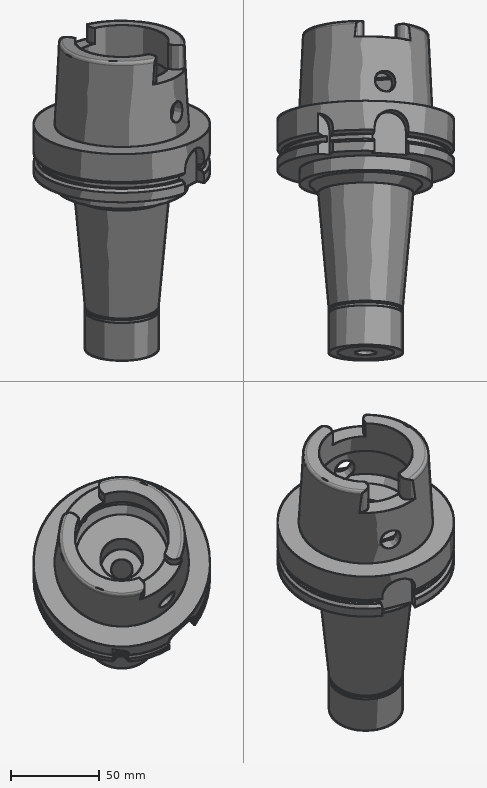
import cadquery as cq
import math


shank_height = 50.0
shank_base_diameter = 76.1
shank_top_diameter = 71.1
shank_rim_fillet = 2.0
mouth_diameter = 53.0
mouth_depth = 20.0
chamber_diameter = 63.0
chamber_depth = 40.7
chamber_floor_diameter = mouth_diameter
chamber_floor_slope = 30.0
coolant_seat_diameter = 24.0
coolant_seat_depth = 20.0
through_diameter = 12.0
radial_hole_diameter = 12.0
radial_hole_z = 14.6

drive_slot_width = 20.0
drive_slot_fillet = 5.0
ear_half_width = 32.0
left_slot_depth = 9.5
right_slot_depth = 14.75

flange_diameter = 100.0
flange_height = 29.0
groove_diameter = 92.0
groove_lip_diameter = 96.0
groove_top_z = -16.8
groove_floor_top_z = -18.5
groove_floor_bottom_z = -21.6
groove_bottom_z = -23.3

key_slot_width = 20.0
key_slot_top_z = -5.0
key_slot_floor_x = 44.0
notch_floor_x = -32.0
notch_edge_y = 31.6

collar_diameter = 75.0
collar_bottom_z = -37.3
cone_top_diameter = 64.0
nose_top_diameter = 54.0
nose_top_z = collar_bottom_z - (cone_top_diameter - nose_top_diameter) / 2
nose_bottom_diameter = 42.0
nose_bottom_z = -109.5

neck_diameter = 32.0
gap_height = 1.0
ring_top_z = nose_bottom_z - gap_height
ring_height = 1.7
nut_diameter = 42.0
nut_top_z = ring_top_z - ring_height
bottom_z = -135.0


def cylinder(diameter, z_low, z_high):
    return cq.Workplane("XY").workplane(offset=z_low).circle(diameter / 2).extrude(z_high - z_low)


def block(x_low, x_high, y_low, y_high, z_low, z_high):
    size = (x_high - x_low, y_high - y_low, z_high - z_low)
    return cq.Workplane("XY").box(*size, centered=False).translate((x_low, y_low, z_low))


def sleeve(outer_diameter, inner_diameter, z_low, z_high):
    return cylinder(outer_diameter, z_low, z_high).cut(cylinder(inner_diameter, z_low, z_high))


def turned(steps):
    """Solid of revolution about Z through (diameter, z) steps listed from the top down."""
    outline = [(0, steps[0][1])]
    outline += [(diameter / 2, z) for diameter, z in steps]
    outline += [(0, steps[-1][1])]
    return cq.Workplane("XZ").polyline(outline).close().revolve(360, (0, 0), (0, 1))


def turned_blank():
    """Outer form of the holder, solid, with the rim of the shank rounded."""
    steps = [
        (shank_top_diameter, shank_height),
        (shank_base_diameter, 0),
        (flange_diameter, 0),
        (flange_diameter, groove_top_z),
        (groove_lip_diameter, groove_floor_top_z),
        (groove_diameter, groove_floor_top_z),
        (groove_diameter, groove_floor_bottom_z),
        (groove_lip_diameter, groove_floor_bottom_z),
        (flange_diameter, groove_bottom_z),
        (flange_diameter, -flange_height),
        (collar_diameter, -flange_height),
        (collar_diameter, collar_bottom_z),
        (cone_top_diameter, collar_bottom_z),
        (nose_top_diameter, nose_top_z),
        (nose_bottom_diameter, nose_bottom_z),
        (neck_diameter, nose_bottom_z),
        (neck_diameter, bottom_z),
    ]
    return turned(steps).faces(">Z").edges().fillet(shank_rim_fillet)


def holder_bores():
    """Stepped hollow of the shank and the hole that runs through the holder."""
    mouth_bottom_z = shank_height - mouth_depth
    chamber_bottom_z = shank_height - chamber_depth
    cone_width = (chamber_diameter - chamber_floor_diameter) / 2
    floor_z = chamber_bottom_z - cone_width * math.tan(math.radians(chamber_floor_slope))
    seat_bottom_z = floor_z - coolant_seat_depth
    steps = [
        (mouth_diameter, shank_height),
        (mouth_diameter, mouth_bottom_z),
        (chamber_diameter, mouth_bottom_z),
        (chamber_diameter, chamber_bottom_z),
        (chamber_floor_diameter, floor_z),
        (coolant_seat_diameter, floor_z),
        (coolant_seat_diameter, seat_bottom_z),
        (through_diameter, seat_bottom_z),
        (through_diameter, bottom_z),
    ]
    return turned(steps)


def radial_hole():
    """Hole along X through both walls of the shank."""
    hole = cq.Workplane("YZ").center(0, radial_hole_z).circle(radial_hole_diameter / 2)
    return hole.extrude(shank_base_diameter / 2, both=True)


def drive_slot(side, depth):
    """Slot in the rim on one X side that also trims the ears flat, with rounded ear corners."""
    reach = shank_base_diameter
    half_slot = drive_slot_width / 2
    corner_x = ear_half_width - drive_slot_fillet
    corner_y = half_slot + drive_slot_fillet
    diagonal = drive_slot_fillet * 0.5 ** 0.5
    middle_x = corner_x + diagonal
    middle_y = corner_y - diagonal
    profile = (
        cq.Workplane("XY")
        .workplane(offset=shank_height - depth)
        .moveTo(0, -half_slot)
        .lineTo(side * corner_x, -half_slot)
        .threePointArc((side * middle_x, -middle_y), (side * ear_half_width, -corner_y))
        .lineTo(side * ear_half_width, -reach)
        .lineTo(side * reach, -reach)
        .lineTo(side * reach, reach)
        .lineTo(side * ear_half_width, reach)
        .lineTo(side * ear_half_width, corner_y)
        .threePointArc((side * middle_x, middle_y), (side * corner_x, half_slot))
        .lineTo(0, half_slot)
        .close()
    )
    return profile.extrude(depth)


def flange_slot(floor_x, center_y):
    """Slot open downwards and outwards in X, with a flat floor and a half-round top."""
    radius = key_slot_width / 2
    arc_z = key_slot_top_z - radius
    outer_x = flange_diameter if floor_x > 0 else -flange_diameter
    x_low = min(floor_x, outer_x)
    x_high = max(floor_x, outer_x)
    straight = block(x_low, x_high, center_y - radius, center_y + radius, -flange_height, arc_z)
    round_end = (
        cq.Workplane("YZ")
        .workplane(offset=x_low)
        .center(center_y, arc_z)
        .circle(radius)
        .extrude(x_high - x_low)
    )
    return straight.union(round_end)


def make_holder():
    body = turned_blank().cut(holder_bores()).cut(radial_hole())
    body = body.cut(drive_slot(-1, left_slot_depth)).cut(drive_slot(1, right_slot_depth))
    for floor_x in (-key_slot_floor_x, key_slot_floor_x):
        body = body.cut(flange_slot(floor_x, 0))
    return body.cut(flange_slot(notch_floor_x, notch_edge_y + key_slot_width / 2))


def make_spacer_ring():
    return sleeve(nut_diameter, neck_diameter, nut_top_z, ring_top_z)


def make_nut():
    return sleeve(nut_diameter, neck_diameter, bottom_z, nut_top_z)


holder = make_holder()
spacer_ring = make_spacer_ring()
nut = make_nut()

result = cq.Compound.makeCompound([holder.val(), spacer_ring.val(), nut.val()])